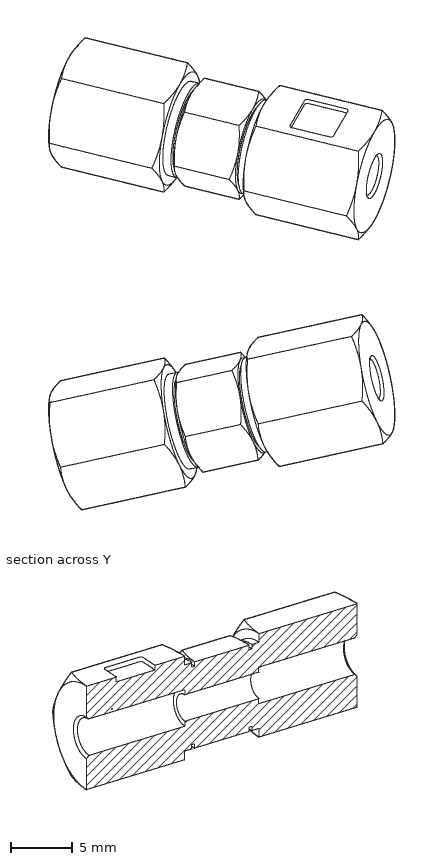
import cadquery as cq
import math

total_length = 26.67
nut_length = 9.68
nut_across_flats = 9.52
body_hex_length = 5.4
body_across_flats = 7.95
collar_diameter = 7.95
collar_width = 0.72
groove_diameter = 7.15

corner_chamfer_angle = 27.0

through_diameter = 2.4
tube_diameter = 3.3
tube_depth = nut_length
entry_diameter = 3.8

recess_side = 3.8
recess_depth = 0.43
recess_corner_radius = 0.25

half_length = total_length / 2
nut_center = half_length - nut_length / 2


def cylinder(diameter, length, center_x=0.0):
    """Solid cylinder along X, centred on center_x."""
    plane = cq.Workplane("YZ", origin=(center_x - length / 2, 0, 0))
    return plane.circle(diameter / 2).extrude(length)


def chamfered_hexagon(across_flats, length, center_x=0.0):
    """Hexagonal bar along X with flats on top and bottom and turned corners at both ends."""
    across_corners = across_flats / math.cos(math.radians(30))
    flat_radius = across_flats / 2
    corner_radius = across_corners / 2
    corner_setback = (corner_radius - flat_radius) * math.tan(math.radians(corner_chamfer_angle))
    half = length / 2

    prism = (
        cq.Workplane("YZ", origin=(-half, 0, 0))
        .polygon(6, across_corners)
        .extrude(length)
    )
    turned_blank = (
        cq.Workplane("XZ")
        .moveTo(-half, 0)
        .lineTo(-half, flat_radius)
        .lineTo(-half + corner_setback, corner_radius)
        .lineTo(half - corner_setback, corner_radius)
        .lineTo(half, flat_radius)
        .lineTo(half, 0)
        .close()
        .revolve(360, (0, 0, 0), (1, 0, 0))
    )
    return prism.intersect(turned_blank).translate((center_x, 0, 0))


def tube_socket():
    """Cutter for the tube socket and its conical entry at the -X end."""
    tube_radius = tube_diameter / 2
    entry_radius = entry_diameter / 2
    entry_depth = entry_radius - tube_radius
    return (
        cq.Workplane("XZ")
        .moveTo(-half_length, 0)
        .lineTo(-half_length, entry_radius)
        .lineTo(-half_length + entry_depth, tube_radius)
        .lineTo(-half_length + tube_depth, tube_radius)
        .lineTo(-half_length + tube_depth, 0)
        .close()
        .revolve(360, (0, 0, 0), (1, 0, 0))
    )


def top_recess():
    """Cutter for the square recess in the top flat of the +X nut."""
    top = nut_across_flats / 2
    return (
        cq.Workplane("XY", origin=(nut_center, 0, top - recess_depth))
        .rect(recess_side, recess_side)
        .extrude(recess_depth)
        .edges("|Z")
        .fillet(recess_corner_radius)
    )


body = chamfered_hexagon(body_across_flats, body_hex_length)
body = body.union(cylinder(groove_diameter, total_length - 2 * nut_length))

collar_center = half_length - nut_length - collar_width / 2
for side in (-1, 1):
    body = body.union(cylinder(collar_diameter, collar_width, side * collar_center))
    body = body.union(chamfered_hexagon(nut_across_flats, nut_length, side * nut_center))

body = body.cut(cylinder(through_diameter, total_length))
socket = tube_socket()
body = body.cut(socket).cut(socket.mirror("YZ"))

result = body.cut(top_recess())